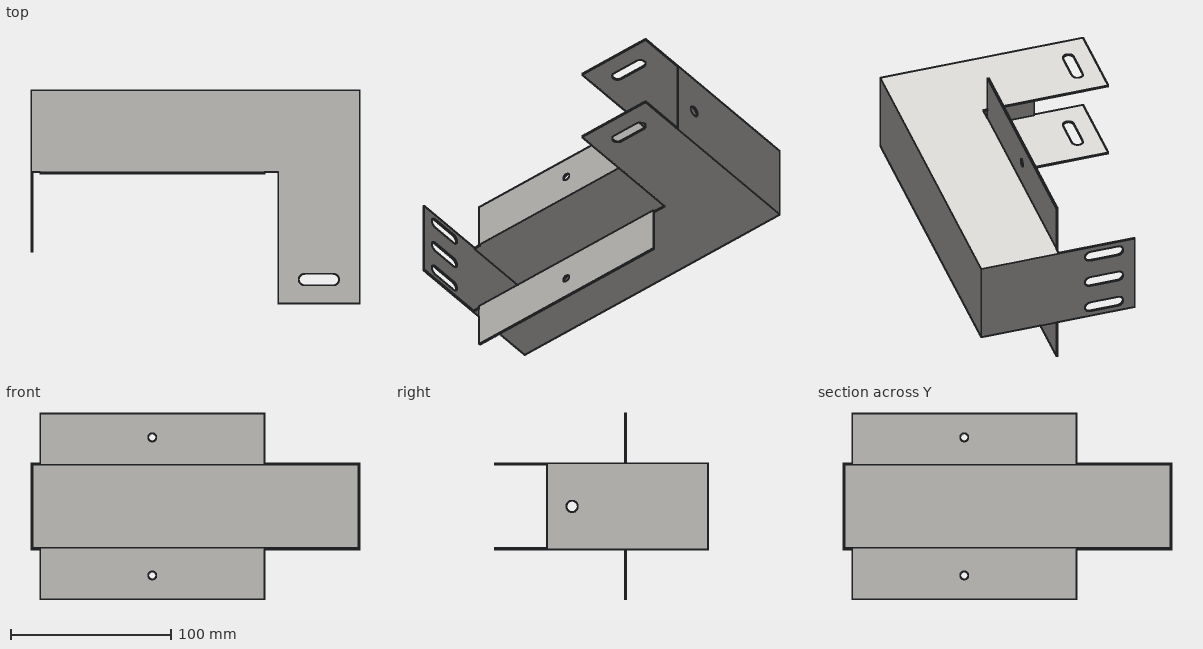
import cadquery as cq

sheet = 1.0
length = 205.0
depth = 133.0
channel_height = 54.0
total_height = 116.0

arm_width = 51.0
leg_width = 51.0

wall_depth = 100.7

flange_start = 5.5
flange_length = 140.0
flange_hole_diameter = 5.0
flange_hole_height = 43.0

slot_length = 25.0
slot_width = 7.0
wall_slot_from_back = 80.5
wall_slot_pitch = 19.9
wall_hole_diameter = 7.0
wall_hole_from_back = 84.9
plate_slot_from_end = 15.0

inner_height = channel_height / 2 - sheet
flange_height = total_height / 2 - inner_height


def box(x, y, z, dx, dy, dz):
    """Box grown from its lowest corner."""
    return cq.Workplane("XY").box(dx, dy, dz, centered=False).translate((x, y, z))


def l_plate(bottom):
    """L-shaped sheet whose lower face is at the given height."""
    outline = [
        (0, 0),
        (length, 0),
        (length, -depth),
        (length - leg_width, -depth),
        (length - leg_width, -arm_width),
        (0, -arm_width),
    ]
    return cq.Workplane("XY").workplane(offset=bottom).polyline(outline).close().extrude(sheet)


wall_bottom = -channel_height / 2
body = box(0, -sheet, wall_bottom, length, sheet, channel_height)
for wall_x in (0, length - sheet):
    body = body.union(box(wall_x, -wall_depth, wall_bottom, sheet, wall_depth, channel_height))
for plate_bottom in (inner_height, wall_bottom):
    body = body.union(l_plate(plate_bottom))

for flange_bottom in (inner_height, -total_height / 2):
    body = body.union(
        box(flange_start, -arm_width - sheet, flange_bottom, flange_length, sheet, flange_height)
    )

flange_holes = (
    cq.Workplane("XZ", origin=(flange_start + flange_length / 2, -arm_width + sheet, 0))
    .pushPoints([(0, flange_hole_height), (0, -flange_hole_height)])
    .circle(flange_hole_diameter / 2)
    .extrude(3 * sheet)
)

wall_slots = (
    cq.Workplane("YZ", origin=(-sheet, -wall_slot_from_back, 0))
    .pushPoints([(0, row * wall_slot_pitch) for row in (-1, 0, 1)])
    .slot2D(slot_length, slot_width)
    .extrude(3 * sheet)
)

wall_hole = (
    cq.Workplane("YZ", origin=(length - 2 * sheet, -wall_hole_from_back, 0))
    .circle(wall_hole_diameter / 2)
    .extrude(3 * sheet)
)

plate_slots = (
    cq.Workplane("XY", origin=(length - leg_width / 2, -depth + plate_slot_from_end, 0))
    .slot2D(slot_length, slot_width)
    .extrude(channel_height, both=True)
)

result = body.cut(flange_holes).cut(wall_slots).cut(wall_hole).cut(plate_slots)